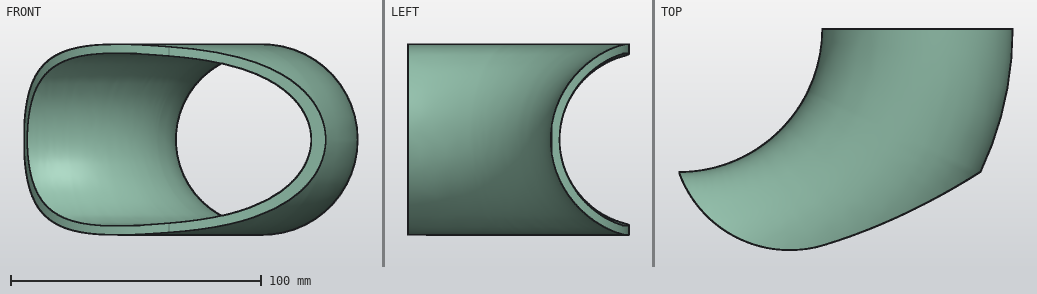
import cadquery as cq

bend_length = 133.0
pipe_diameter = 76.1
wall = 3.6
bend_angle = 90.0

pipe_radius = pipe_diameter / 2
bore_radius = pipe_radius - wall
bend_radius = bend_length - pipe_radius

heel_join_x = 57.7
end_flat = 0.5
trim_margin = 6.7


def saddle_y(x):
    """Mitre line between the bend and an equal straight pipe lying along X at Y = -bend_radius."""
    return x**2 / (4 * bend_radius) - bend_radius


def saddle_slope(x):
    """Slope of the mitre line."""
    return x / (2 * bend_radius)


def bend_body(section_radius):
    """Solid quarter torus with a round section."""
    return (
        cq.Workplane("XZ")
        .center(bend_radius, 0)
        .circle(section_radius)
        .revolve(bend_angle, (-bend_radius, 0), (-bend_radius, -1))
    )


def saddle_keep_body():
    """Prism along Z that covers the part of the bend left standing by the saddle cut."""
    half_height = pipe_radius + trim_margin
    far_x = bend_length + trim_margin
    far_point = (far_x, saddle_y(far_x))
    heel_join = (heel_join_x, saddle_y(heel_join_x))
    heel_end = (0, pipe_radius - bend_radius - end_flat)

    control_x = (heel_join_x + far_x) / 2
    control_y = heel_join[1] + saddle_slope(heel_join_x) * (control_x - heel_join_x)

    return (
        cq.Workplane("XY", origin=(0, 0, -half_height))
        .moveTo(far_x, trim_margin)
        .lineTo(*far_point)
        .bezier([far_point, (control_x, control_y), heel_join])
        .tangentArcPoint(heel_end, relative=False)
        .lineTo(0, trim_margin)
        .close()
        .extrude(2 * half_height)
    )


pipe_bend = bend_body(pipe_radius).cut(bend_body(bore_radius))
result = pipe_bend.intersect(saddle_keep_body())